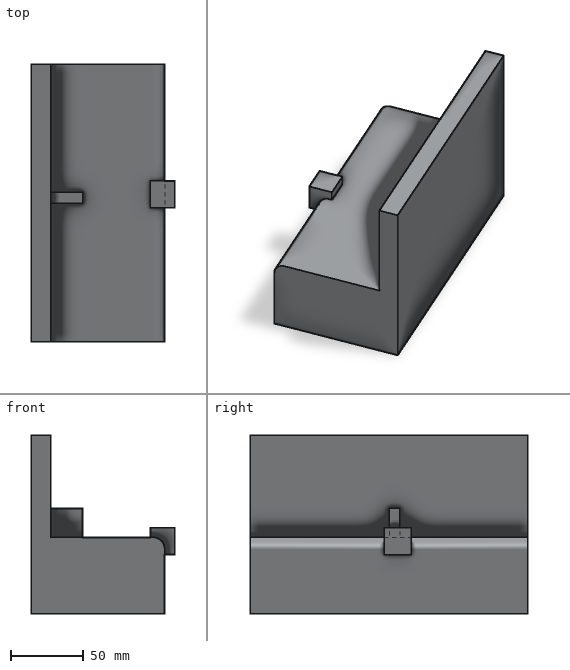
import cadquery as cq

length = 192.0
total_height = 123.62
base_depth = 92.3
base_height = 53.0
wall_thickness = 13.7
nose_radius = 8.0

rib_reach = 22.0
rib_height = 20.0
rib_width = 7.5

total_depth = 99.41
block_depth = 17.0
block_width = 18.8
block_height = 18.7
block_center_y = 6.0
block_rise = 6.7


def make_body():
    """Base and wall as one extruded profile, with its rounded nose."""
    profile = (
        cq.Workplane("XZ", origin=(0, length / 2, 0))
        .lineTo(base_depth, 0)
        .lineTo(base_depth, base_height - nose_radius)
        .radiusArc((base_depth - nose_radius, base_height), -nose_radius)
        .lineTo(wall_thickness, base_height)
        .lineTo(wall_thickness, total_height)
        .lineTo(0, total_height)
        .close()
    )
    return profile.extrude(length)


def make_rib():
    """Rectangular rib touching both the wall and the base, starting at mid-length."""
    rib = cq.Workplane("XY").box(rib_reach, rib_width, rib_height, centered=False)
    return rib.translate((wall_thickness, 0, base_height))


def make_block():
    """Rectangular block overhanging the +X face of the base."""
    block_start_x = total_depth - block_depth
    block_bottom_z = base_height + block_rise - block_height
    block = cq.Workplane("XY").box(
        block_depth, block_width, block_height, centered=(False, True, False)
    )
    return block.translate((block_start_x, block_center_y, block_bottom_z))


result = make_body().union(make_rib()).union(make_block())